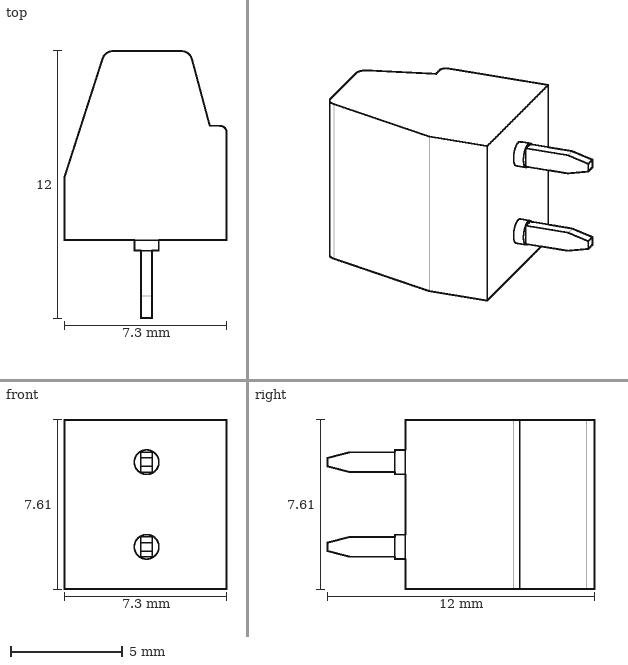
import cadquery as cq

body_width = 7.3
body_height = 7.61
overall_depth = 12.0
pin_reach = 3.5
body_depth = overall_depth - pin_reach

side_wall_depth = 2.82
back_left = 1.82
back_right = 5.64
step_inner = 6.54
step_depth = 5.14
back_radius = 0.5
step_radius = 0.3

pin_offset = 3.7
pin_pitch = 3.8
collar_diameter = 1.1
collar_length = 0.48
blade_width = 0.5
blade_height = 0.9
tip_height = 0.38
tip_length = 1.0


def make_housing():
    """Extrude the plan outline upwards, with the pin face at Y = 0."""
    outline = [
        (0, 0),
        (body_width, 0),
        (body_width, step_depth),
        (step_inner, step_depth),
        (back_right, body_depth),
        (back_left, body_depth),
        (0, side_wall_depth),
    ]
    housing = cq.Workplane("XY").polyline(outline).close().extrude(body_height)
    housing = housing.faces(">Y").edges("|Z").fillet(back_radius)
    return housing.faces(">X").edges("|Z and >Y").fillet(step_radius)


def make_pin(z):
    """Collar and blade with a tapered tip, pointing towards -Y at height z."""
    collar = cq.Workplane("XZ", origin=(pin_offset, 0, z)).circle(collar_diameter / 2).extrude(collar_length)
    half = blade_height / 2
    half_tip = tip_height / 2
    taper_start = tip_length - pin_reach
    blade_outline = [
        (0, -half),
        (taper_start, -half),
        (-pin_reach, -half_tip),
        (-pin_reach, half_tip),
        (taper_start, half),
        (0, half),
    ]
    blade = (
        cq.Workplane("YZ", origin=(pin_offset, 0, z))
        .polyline(blade_outline)
        .close()
        .extrude(blade_width / 2, both=True)
    )
    return collar.union(blade)


result = make_housing()
for side in (-1, 1):
    result = result.union(make_pin(body_height / 2 + side * pin_pitch / 2))